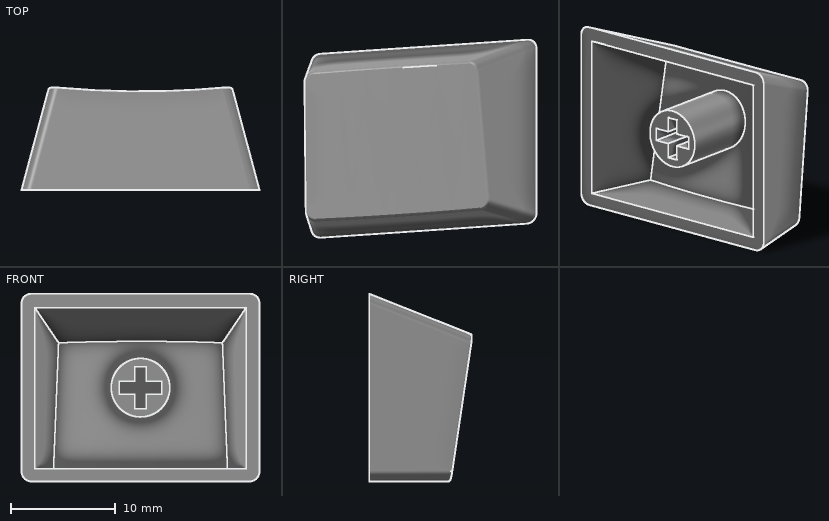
import cadquery as cq
import math

rim_width = 22.8
rim_height = 18.0
wall = 1.25

side_taper = 15.0
roof_slope = 21.6
dish_tilt = 8.7

dish_radius = 83.22
dish_floor_depth = 7.32

corner_radius = 1.0
dish_edge_radius = 0.25

stem_diameter = 5.6
cross_span = 4.04
cross_upright_width = 1.07
cross_bar_width = 1.2

block_depth = 13.68
dish_overrun = 18.25


def tan_deg(angle):
    return math.tan(math.radians(angle))


def cos_deg(angle):
    return math.cos(math.radians(angle))


def dish_cylinder(radius):
    """Cylinder about the dish axis, which runs parallel to the tilted far face."""
    tilt = math.radians(dish_tilt)
    axis_dir = cq.Vector(0, math.sin(tilt), math.cos(tilt))
    outward = cq.Vector(0, math.cos(tilt), -math.sin(tilt))
    floor_point = cq.Vector(0, dish_floor_depth, 0)
    start = floor_point + outward * dish_radius - axis_dir * dish_overrun
    length = rim_height + 2 * dish_overrun
    return cq.Workplane(cq.Solid.makeCylinder(radius, length, start, axis_dir))


def tapered_block(inset):
    """Solid bounded by the flat bottom, sloping roof and tapered sides, each moved inward by inset."""
    half_width = rim_width / 2 - inset / cos_deg(side_taper)
    bottom = inset
    top = rim_height - inset / cos_deg(roof_slope)
    far_half_width = half_width - block_depth * tan_deg(side_taper)
    far_top = top - block_depth * tan_deg(roof_slope)
    plan = (
        cq.Workplane("XY")
        .polyline([
            (-half_width, 0),
            (half_width, 0),
            (far_half_width, block_depth),
            (-far_half_width, block_depth),
        ])
        .close()
        .extrude(rim_height)
    )
    profile = (
        cq.Workplane("YZ")
        .polyline([(0, bottom), (0, top), (block_depth, far_top), (block_depth, bottom)])
        .close()
        .extrude(rim_width / 2, both=True)
    )
    return plan.intersect(profile)


def outer_body():
    block = tapered_block(0).edges("not #Y").fillet(corner_radius)
    body = block.cut(dish_cylinder(dish_radius))
    return body.faces("%CYLINDER").faces(">Y").edges().fillet(dish_edge_radius)


def cavity():
    return tapered_block(wall).cut(dish_cylinder(dish_radius + wall))


def stem():
    """Round post with a cross socket, standing in the cavity and flush with the rim."""
    middle = cq.Workplane("XZ", origin=(0, 0, rim_height / 2))
    post = middle.circle(stem_diameter / 2).extrude(-block_depth)
    upright = middle.rect(cross_upright_width, cross_span).extrude(-block_depth)
    bar = middle.rect(cross_span, cross_bar_width).extrude(-block_depth)
    return post.cut(upright).cut(bar)


hollow = cavity().cut(stem())
result = outer_body().cut(hollow)